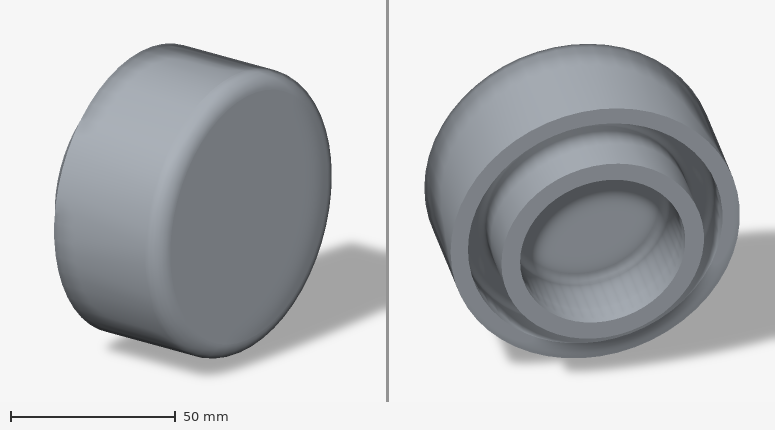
import cadquery as cq

body_diameter = 90.0
body_length = 40.05
hub_diameter = 63.0
hub_projection = 10.0
bore_diameter = 51.4
groove_diameter = 79.2
closed_end_thickness = 26.7
outer_edge_radius = 5.4
groove_fillet = 2.0
bore_fillet = 2.5

total_length = hub_projection + body_length
floor_x = total_length - closed_end_thickness


def cylinder(diameter, start_x, end_x):
    """Solid cylinder along X between two stations."""
    return cq.Workplane("YZ", origin=(start_x, 0, 0)).circle(diameter / 2).extrude(end_x - start_x)


body = cylinder(body_diameter, hub_projection, total_length)
body = body.faces(">X").edges().fillet(outer_edge_radius)

groove = cylinder(groove_diameter, 0, floor_x).cut(cylinder(hub_diameter, 0, floor_x))
groove = groove.faces(">X").edges().fillet(groove_fillet)

hub = cylinder(hub_diameter, 0, total_length - outer_edge_radius)
bore = cylinder(bore_diameter, 0, floor_x).faces(">X").edges().fillet(bore_fillet)

result = body.cut(groove).union(hub).cut(bore)